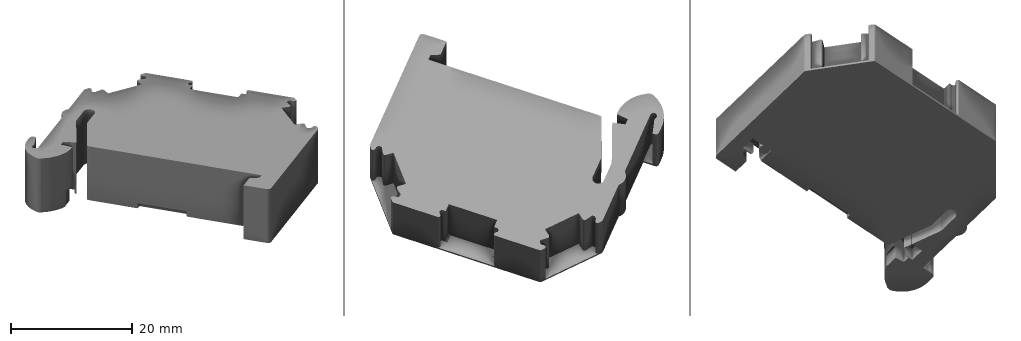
import cadquery as cq
import math

thickness = 10.0
body_width = 41.1
body_height = 27.95
body_half = body_width / 2
hook_overhang = 2.6
hook_drop = 6.95
foot_drop = 4.35
web = 0.45

top_half = 13.05
shoulder_y = 18.95
upper_shoulder_radius = 0.4
lower_shoulder_radius = 0.8

bump_y = 10.05
bump_half = 1.35
bump_height = 0.6
slot_left = -17.95
slot_width = 1.95
slot_right = slot_left + slot_width
slot_radius = slot_width / 2
slot_top = 12.5
slot_bend_left_y = 7.9
slot_bend_right_y = 7.75
slot_mouth_x = -13.15
mouth_radius = 0.45

tooth_x = -15.3
tooth_top_y = 0.7
tooth_bottom_y = 0.52
notch_x = -17.4
notch_top_y = 0.1
notch_bottom_y = -1.0
hook_tip_x = -15.35
hook_tip_top_y = -1.25
hook_tip_bottom_y = -1.95
hook_left = -body_half - hook_overhang
hook_top_y = 0.15
hook_corner_radius = 0.52
hook_side_y = -1.7
belly_right = (-16.8, -5.35)
belly_left = (-22.02, -5.0)
nose_left = (-19.8, -6.77)
nose_right = (-18.45, -6.65)
nose_x = -19.23

barb_mouth_x = -22.2
barb_neck = (-21.5, -2.55)
barb_radius = 0.55
barb_center_y = -3.1

foot_inner_x = 17.5
foot_notch_y = -0.9
foot_toe_x = 15.95
foot_toe_y = -1.6
foot_corner_radius = 0.6

mouth_half = 5.0
lip_half = 4.75
lip_mid_depth = 0.35
lip_depth = 0.7
groove_half = 5.2
shelf_half = 4.85
top_shelf_depth = 1.55
top_pocket_depth = 2.95
top_neck_half = 4.3
top_neck_chamfer = 0.3
side_shelf_depth = 1.75
side_nub_depth = 1.5
side_pocket_depth = 3.25
side_neck_half = 3.2
side_neck_radius = 0.35

notch_half = top_neck_half
notch_height = 0.95
notch_depth = 0.87

socket_height = 2.95
socket_inner_x = 14.3
socket_outer_x = 18.2
socket_depth = 2.7
wall = 0.2
window_center = 15.25
window_width = 1.3
flare_width = 0.45
flare_height = 0.7
post_radius = 0.87
post_y = 2.15

relief_x = -15.78
relief_drop = 3.5


def round_upright_edge(solid, x, y, radius):
    """Fillet the Z-parallel edge that stands at (x, y)."""
    nearest = cq.selectors.NearestToPointSelector((x, y, thickness / 2))
    return solid.edges("|Z").edges(nearest).fillet(radius)


def housing():
    """Plate with the outer outline: shoulders, foot, bent slot, leg and hook."""
    outline = (
        cq.Workplane("XY")
        .moveTo(-top_half, body_height)
        .lineTo(top_half, body_height)
        .lineTo(body_half, shoulder_y)
        .lineTo(body_half, -foot_drop + foot_corner_radius)
        .radiusArc((body_half - foot_corner_radius, -foot_drop), foot_corner_radius)
        .lineTo(foot_toe_x, -foot_drop)
        .lineTo(foot_toe_x, foot_toe_y)
        .lineTo(foot_inner_x, foot_notch_y)
        .lineTo(foot_inner_x, 0)
        .lineTo(slot_mouth_x, 0)
        .lineTo(slot_right, slot_bend_right_y)
        .lineTo(slot_right, slot_top - slot_radius)
        .threePointArc((slot_left + slot_radius, slot_top), (slot_left, slot_top - slot_radius))
        .lineTo(slot_left, slot_bend_left_y)
        .lineTo(tooth_x, tooth_top_y)
        .lineTo(tooth_x, tooth_bottom_y)
        .lineTo(notch_x, notch_top_y)
        .lineTo(notch_x, notch_bottom_y)
        .lineTo(hook_tip_x, hook_tip_top_y)
        .lineTo(hook_tip_x, hook_tip_bottom_y)
        .threePointArc(belly_right, nose_right)
        .threePointArc((nose_x, -hook_drop), nose_left)
        .threePointArc(belly_left, (hook_left, hook_side_y))
        .lineTo(hook_left, hook_top_y - hook_corner_radius)
        .radiusArc((hook_left + hook_corner_radius, hook_top_y), hook_corner_radius)
        .lineTo(-body_half, hook_top_y)
        .lineTo(-body_half, bump_y - bump_half)
        .threePointArc((-body_half - bump_height, bump_y), (-body_half, bump_y + bump_half))
        .lineTo(-body_half, shoulder_y)
        .close()
    )
    plate = outline.extrude(thickness)
    plate = round_upright_edge(plate, slot_mouth_x, 0, mouth_radius)
    for side in (-1, 1):
        plate = round_upright_edge(plate, side * top_half, body_height, upper_shoulder_radius)
        plate = round_upright_edge(plate, side * body_half, shoulder_y, lower_shoulder_radius)
    return plate


def barb_pocket():
    """Narrow pocket with a round end that frees the hook barb from the leg."""
    bulb_x = -body_half - barb_radius
    return (
        cq.Workplane("XY", origin=(0, 0, web))
        .moveTo(-body_half, hook_top_y)
        .lineTo(barb_mouth_x, hook_top_y)
        .lineTo(*barb_neck)
        .lineTo(bulb_x - barb_radius, barb_center_y)
        .threePointArc((bulb_x, barb_center_y - barb_radius), (-body_half, barb_center_y))
        .close()
        .extrude(thickness)
    )


def undercut_mouth(shelf_depth, nub_half, nub_depth):
    """Wide part of a marker pocket, opening at Y = 0 and running toward -Y."""
    groove_depth = (lip_depth + shelf_depth) / 2
    return (
        cq.Workplane("XY", origin=(0, 0, web))
        .moveTo(-mouth_half, 0)
        .threePointArc((-lip_half, -lip_mid_depth), (-mouth_half, -lip_depth))
        .threePointArc((-groove_half, -groove_depth), (-shelf_half, -shelf_depth))
        .lineTo(-nub_half, -nub_depth)
        .lineTo(nub_half, -nub_depth)
        .lineTo(shelf_half, -shelf_depth)
        .threePointArc((groove_half, -groove_depth), (mouth_half, -lip_depth))
        .threePointArc((lip_half, -lip_mid_depth), (mouth_half, 0))
        .close()
        .extrude(thickness)
    )


def neck(half_width, depth):
    """Straight inner part of a marker pocket."""
    return cq.Workplane("XY", origin=(0, -depth / 2, web)).box(
        2 * half_width, depth, thickness, centered=(True, True, False))


def top_pocket():
    """Marker pocket in the top edge; the ends of its neck are chamfered at the floor."""
    chamfered_neck = (
        neck(top_neck_half, top_pocket_depth)
        .faces("<Z").edges("|Y")
        .chamfer(top_neck_chamfer)
    )
    pocket = undercut_mouth(top_shelf_depth, top_neck_half, top_shelf_depth).union(chamfered_neck)
    return pocket.translate((0, body_height, 0))


def side_pocket():
    """Marker pocket in the right shoulder."""
    mouth = undercut_mouth(side_shelf_depth, side_neck_half, side_nub_depth)
    pocket = mouth.union(neck(side_neck_half, side_pocket_depth))
    for side in (-1, 1):
        pocket = round_upright_edge(
            pocket, side * side_neck_half, -side_nub_depth, side_neck_radius)
    slope = math.degrees(math.atan2(shoulder_y - body_height, body_half - top_half))
    middle = ((top_half + body_half) / 2, (body_height + shoulder_y) / 2, 0)
    return pocket.rotate((0, 0, 0), (0, 0, 1), slope).translate(middle)


def bottom_notch():
    """Shallow notch at the bottom of the underside."""
    return cq.Workplane("XY").box(
        2 * notch_half, notch_depth, notch_height, centered=(True, False, False))


def bottom_socket():
    """Right socket in the bottom face, its flared window and the post standing inside."""
    half = window_width / 2
    window = (
        cq.Workplane("XZ", origin=(window_center, wall, 0))
        .moveTo(-half - flare_width, 0)
        .lineTo(-half, flare_height)
        .lineTo(-half, socket_height)
        .lineTo(half, socket_height)
        .lineTo(half, flare_height)
        .lineTo(half + flare_width, 0)
        .close()
        .extrude(wall)
    )
    room = cq.Workplane("XY", origin=(socket_inner_x, wall, 0)).box(
        socket_outer_x - socket_inner_x, socket_depth - wall, socket_height, centered=False)
    post = (
        cq.Workplane("XY", origin=(window_center, post_y, 0))
        .circle(post_radius)
        .extrude(socket_height)
    )
    return room.cut(post).union(window)


def hook_relief():
    """Step that narrows the lower part of the hook tip and of the tooth above it."""
    return cq.Workplane("XY", origin=(relief_x, -relief_drop, 0)).box(
        tooth_x - relief_x, relief_drop + tooth_top_y, socket_height, centered=False)


result = housing()
for cut in (barb_pocket(), top_pocket(), bottom_notch(), hook_relief()):
    result = result.cut(cut)
for paired_cut in (side_pocket(), bottom_socket()):
    result = result.cut(paired_cut).cut(paired_cut.mirror("YZ"))